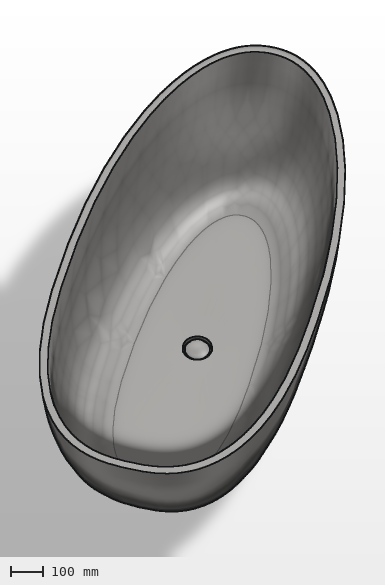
import cadquery as cq
import math

height = 550.0
base_z = 0.0
rim_half_width = 410.0
rim_rear = 840.0
rim_front = -840.0
widest_y = -140.0
rim_width = 25.0

base_half_width = 249.0
base_rear = 353.0
base_front = -538.0

floor_height = 150.0
floor_half_width = 192.0
floor_rear = 480.0
floor_front = -588.0
floor_fall = 8.0

drain_y = -42.0
drain_radius = 45.0
plug_radius = 39.0
drain_depth = 20.0
plug_edge_height = 13.0
plug_dome_rise = 8.0

outer_bulge_side = 32.0
outer_bulge_rear = 74.0
outer_bulge_front = 65.0

inner_steepness_side = 1.6
inner_steepness_rear = 1.1
inner_steepness_front = 1.4

rear_exponent_upper = 2.1
rear_exponent_base = 2.4
front_exponent = 2.5

outline_points = 40
outer_levels = 8
inner_levels = 10


def egg_wire(half_width, rear, front, rear_exponent, z):
    """Closed egg-shaped outline at height z, a superellipse with unequal halves."""
    points = []
    for i in range(outline_points):
        angle = 2 * math.pi * i / outline_points
        c = math.cos(angle)
        s = math.sin(angle)
        exponent = rear_exponent if s >= 0 else front_exponent
        length = rear - widest_y if s >= 0 else widest_y - front
        x = half_width * math.copysign(abs(c) ** (2 / exponent), c)
        y = widest_y + length * math.copysign(abs(s) ** (2 / exponent), s)
        points.append(cq.Vector(x, y, z))
    return cq.Wire.assembleEdges([cq.Edge.makeSpline(points, periodic=True)])


def arc_reach(top, bottom, drop, bulge, depth):
    """Reach at a given depth of a bulging arc from (top, 0) down to (bottom, drop)."""
    inset = top - bottom
    chord = math.hypot(inset, drop)
    radius = (chord ** 2 / 4 + bulge ** 2) / (2 * bulge)
    offset = radius - bulge
    center_reach = (top + bottom) / 2 - offset * drop / chord
    center_depth = drop / 2 - offset * inset / chord
    return center_reach + math.sqrt(radius ** 2 - (depth - center_depth) ** 2)


def cove_reach(top, bottom, drop, steepness, depth):
    """Reach at a given depth of a curve from (top, 0) that runs level into the floor at (bottom, drop)."""
    return bottom + (top - bottom) * math.sqrt(1 - (depth / drop) ** steepness)


def bowl(top, bottom, bottom_z, reach, shapes, levels):
    """Solid lofted from the bottom outline to the rim.

    Outlines are (half width, rear, front, rear exponent). The reach function gives the wall
    profile, with one shape value for each of the side, rear and front.
    """
    drop = height - bottom_z
    wires = []
    for i in range(levels):
        depth = drop * math.cos(math.pi / 2 * i / (levels - 1))
        half_width = reach(top[0], bottom[0], drop, shapes[0], depth)
        rear = reach(top[1], bottom[1], drop, shapes[1], depth)
        front = -reach(-top[2], -bottom[2], drop, shapes[2], depth)
        rear_exponent = top[3] + (bottom[3] - top[3]) * depth / drop
        wires.append(egg_wire(half_width, rear, front, rear_exponent, height - depth))
    return cq.Workplane(obj=cq.Solid.makeLoft(wires))


def floor_dish():
    """Shallow funnel from the floor outline down to the drain edge."""
    drain_edge = cq.Wire.makeCircle(
        drain_radius, cq.Vector(0, drain_y, floor_height - floor_fall), cq.Vector(0, 0, 1)
    )
    outline = egg_wire(floor_half_width, floor_rear, floor_front, rear_exponent_upper, floor_height)
    return cq.Workplane(obj=cq.Solid.makeLoft([drain_edge, outline], True))


def drain_plug(seat_z):
    """Round plug with a domed top, standing on the drain seat."""
    edge_z = seat_z + plug_edge_height
    sphere_radius = (plug_radius ** 2 + plug_dome_rise ** 2) / (2 * plug_dome_rise)
    mid_z = edge_z + plug_dome_rise - sphere_radius + math.sqrt(sphere_radius ** 2 - plug_radius ** 2 / 4)
    profile = (
        cq.Workplane("XZ", origin=(0, drain_y, 0))
        .moveTo(0, seat_z)
        .lineTo(plug_radius, seat_z)
        .lineTo(plug_radius, edge_z)
        .threePointArc((plug_radius / 2, mid_z), (0, edge_z + plug_dome_rise))
        .close()
    )
    return profile.revolve(360, (0, 0, 0), (0, 1, 0))


outer = bowl(
    (rim_half_width, rim_rear, rim_front, rear_exponent_upper),
    (base_half_width, base_rear, base_front, rear_exponent_base),
    base_z,
    arc_reach,
    (outer_bulge_side, outer_bulge_rear, outer_bulge_front),
    outer_levels,
)
inner = bowl(
    (rim_half_width - rim_width, rim_rear - rim_width, rim_front + rim_width, rear_exponent_upper),
    (floor_half_width, floor_rear, floor_front, rear_exponent_upper),
    floor_height,
    cove_reach,
    (inner_steepness_side, inner_steepness_rear, inner_steepness_front),
    inner_levels,
)

drain_seat_z = floor_height - floor_fall - drain_depth
drain_pocket = (
    cq.Workplane("XY", origin=(0, drain_y, drain_seat_z))
    .circle(drain_radius)
    .extrude(drain_depth + floor_fall)
)

result = outer.cut(inner).cut(floor_dish()).cut(drain_pocket).union(drain_plug(drain_seat_z))